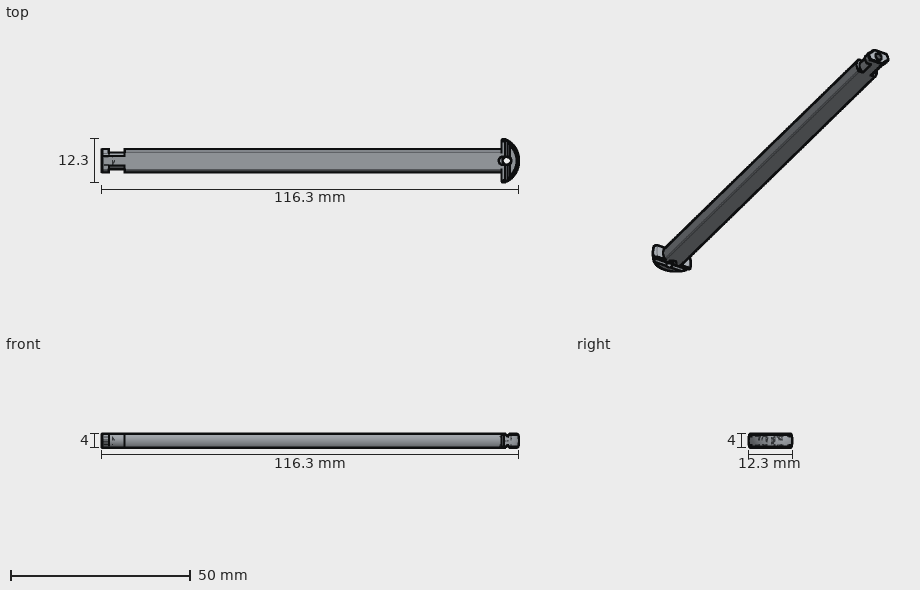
import cadquery as cq
import math

length = 116.25
thickness = 4.0
head_diameter = 12.25

shaft_diameter = 6.6
shaft_edge_round = 0.5

neck_diameter = 4.75
neck_end = 6.4

lug_length = 2.0
lug_plane_distance = 2.3
lug_corner_round = 0.6
end_chamfer = 0.2

end_hole_diameter = 2.0
end_hole_depth = 3.0
drill_point_angle = 118.0

head_length = 5.0
back_round = 0.8
dome_edge_chamfer = 0.4

groove_x = 113.0
groove_width = 1.5
groove_depth = 0.8
cord_hole_diameter = 2.0

mouth_diameter = 2.4
mouth_reach = 1.1

half_thickness = thickness / 2
shaft_radius = shaft_diameter / 2
neck_radius = neck_diameter / 2
head_radius = head_diameter / 2
head_start = length - head_length
dome_start = head_start + back_round


def polar(radius, angle, centre=(0, 0)):
    """Point (y, z) at an angle in radians from +Y around a centre."""
    return (centre[0] + radius * math.cos(angle), centre[1] + radius * math.sin(angle))


def slab(start, end):
    """Block as thick as the part, wider than the head."""
    centre = ((start + end) / 2, 0, 0)
    return cq.Workplane("XY", origin=centre).box(end - start, 2 * head_diameter, thickness)


def flatted_rod(radius, start, end):
    """Round rod along X with its top and bottom cut flat."""
    corner_y = math.sqrt(radius**2 - half_thickness**2)
    return (
        cq.Workplane("YZ", origin=(start, 0, 0))
        .moveTo(-corner_y, half_thickness)
        .lineTo(corner_y, half_thickness)
        .threePointArc((radius, 0), (corner_y, -half_thickness))
        .lineTo(-corner_y, -half_thickness)
        .threePointArc((-radius, 0), (-corner_y, half_thickness))
        .close()
        .extrude(end - start)
    )


def lug_outline(x, inset):
    """Closed outline of the lug section at x, drawn in by an inset; half a turn about X maps it to itself."""
    top = half_thickness - inset
    outer = shaft_radius - inset
    inner = neck_radius - inset
    plane_distance = lug_plane_distance - inset
    edge_round = shaft_edge_round - inset
    corner_round = lug_corner_round - inset

    edge_z = top - edge_round
    edge_y = math.sqrt((outer - edge_round) ** 2 - edge_z**2)
    edge_centre = (edge_y, -edge_z)
    edge_angle = math.atan2(edge_z, edge_y)

    plane_angle = math.pi / 4
    foot_angle = plane_angle - math.acos(plane_distance / inner)
    neck_angle = math.asin(top / inner)
    corner_distance = outer - corner_round
    corner_angle = plane_angle - math.acos((plane_distance - corner_round) / corner_distance)
    corner_centre = polar(corner_distance, corner_angle)

    neck_middle = polar(inner, (neck_angle + foot_angle) / 2)
    plane_start = polar(inner, foot_angle)
    plane_end = polar(corner_round, plane_angle, corner_centre)
    corner_middle = polar(corner_round, (plane_angle + corner_angle) / 2, corner_centre)
    side_start = polar(outer, corner_angle)
    side_middle = polar(outer, (corner_angle - edge_angle) / 2)
    side_end = polar(outer, -edge_angle)
    edge_middle = polar(edge_round, -(edge_angle + math.pi / 2) / 2, edge_centre)

    outline = cq.Workplane("YZ", origin=(x, 0, 0)).moveTo(-edge_y, top)
    for sign in (1, -1):

        def turned(point):
            return (sign * point[0], sign * point[1])

        outline = (
            outline.lineTo(*turned(polar(inner, neck_angle)))
            .threePointArc(turned(neck_middle), turned(plane_start))
            .lineTo(*turned(plane_end))
            .threePointArc(turned(corner_middle), turned(side_start))
            .threePointArc(turned(side_middle), turned(side_end))
            .threePointArc(turned(edge_middle), turned((edge_y, -top)))
        )
    return outline.close()


def lug():
    """Lug with a chamfer all round its free end."""
    body = lug_outline(end_chamfer, 0).extrude(lug_length - end_chamfer)
    wires = [lug_outline(0, end_chamfer).val(), lug_outline(end_chamfer, 0).val()]
    return body.union(cq.Workplane(cq.Solid.makeLoft(wires, True)))


def head():
    """Flat slice of a turned mushroom, with its dome edges chamfered."""
    dome_height = length - dome_start
    dome_radius = (head_radius**2 + dome_height**2) / (2 * dome_height)
    turned = (
        cq.Workplane("XY")
        .moveTo(head_start, 0)
        .lineTo(head_start, head_radius - back_round)
        .radiusArc((dome_start, head_radius), back_round)
        .radiusArc((length, 0), dome_radius)
        .close()
        .revolve(360, (0, 0, 0), (1, 0, 0))
    )
    past_back = (dome_start + back_round, -head_diameter, -thickness)
    beyond = (length + 1, head_diameter, thickness)
    dome_edges = cq.selectors.BoxSelector(past_back, beyond)
    sliced = turned.intersect(slab(head_start, length))
    return sliced.edges(dome_edges).edges("%CIRCLE").chamfer(dome_edge_chamfer)


def groove(side):
    """V groove along Y in the top (side 1) or bottom (side -1) face of the head."""
    surface = side * half_thickness
    groove_start = groove_x - groove_width / 2
    groove_end = groove_x + groove_width / 2
    return (
        cq.Workplane("XZ", origin=(0, head_diameter, 0))
        .moveTo(groove_start, surface)
        .lineTo(groove_x, surface - side * groove_depth)
        .lineTo(groove_end, surface)
        .lineTo(groove_end, surface + side)
        .lineTo(groove_start, surface + side)
        .close()
        .extrude(2 * head_diameter)
    )


def cord_hole():
    return (
        cq.Workplane("XY", origin=(groove_x, 0, -thickness))
        .circle(cord_hole_diameter / 2)
        .extrude(2 * thickness)
    )


def mouth(side):
    """Slanted bore from the middle of the cord hole to the top (side 1) or bottom (side -1) face."""
    axis = cq.Vector(-mouth_reach, 0, side * half_thickness)
    start = cq.Vector(groove_x, 0, 0)
    return cq.Workplane(cq.Solid.makeCylinder(mouth_diameter / 2, 2 * axis.Length, start, axis))


def end_hole():
    radius = end_hole_diameter / 2
    point_length = radius / math.tan(math.radians(drill_point_angle / 2))
    return (
        cq.Workplane("XY")
        .lineTo(0, radius)
        .lineTo(end_hole_depth, radius)
        .lineTo(end_hole_depth + point_length, 0)
        .close()
        .revolve(360, (0, 0, 0), (1, 0, 0))
    )


shaft = flatted_rod(shaft_radius, neck_end, dome_start).edges("|X").fillet(shaft_edge_round)
neck = flatted_rod(neck_radius, lug_length, neck_end)
result = head().cut(groove(1)).cut(groove(-1)).union(shaft).union(neck).cut(cord_hole())
result = result.cut(mouth(1)).cut(mouth(-1))
result = result.union(lug()).cut(end_hole())